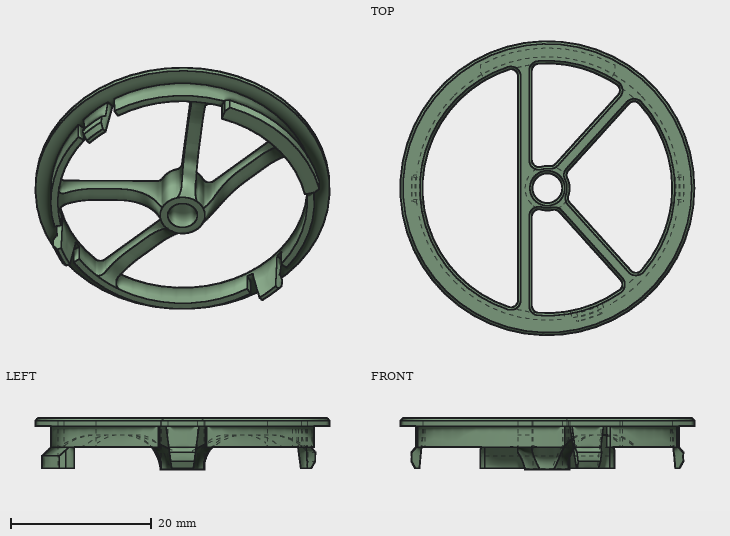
import cadquery as cq
import math

flange_bottom = -1.2
web_bottom = -2.4
skirt_bottom = -4.2
tip_bottom = -7.2
hub_bottom = -7.4

flange_radius = 21.0
skirt_outer_radius = 18.8
skirt_inner_radius = 17.8
hub_radius = 3.2
bore_radius = 2.1
hub_flare_radius = 6.0
rim_flare_radius = 8.0

top_chamfer = 0.4
window_corner_radius = 1.0
bar_width = 2.0
bar_center_x = -3.2
spoke_width = 2.0
spokes = [(47.8, 0.47), (-48.0, 0.0)]

clip_angles = [0.0, 180.0, -72.0]
gap_half_angle = 10.5
clip_root_half_width = 2.35
clip_tip_half_width = 1.55
clip_lip_radius = 19.45
clip_lip_top = -4.95
clip_lip_bottom = -6.2
clip_tip_outer_radius = 18.9
clip_tip_inner_radius = 18.3

hook_half_angle = 30.0
hook_half_width = 9.6
hook_overhang = 1.25


def revolve_about_z(profile):
    """Full turn about Z of a closed profile drawn as (radius, z)."""
    return profile.close().revolve(360, (0, 0, 0), (0, 1, 0))


def sector(center_angle, half_angle, top, bottom):
    """Wedge from the Z axis, reaching past the flange."""
    reach = 2 * flange_radius
    corners = [(0, 0)]
    for angle in (center_angle - half_angle, center_angle + half_angle):
        radians = math.radians(angle)
        corners.append((reach * math.cos(radians), reach * math.sin(radians)))
    return cq.Workplane("XY").workplane(offset=bottom).polyline(corners).close().extrude(top - bottom)


def make_body():
    """Flange, skirt, web and flared hub as one turned piece."""
    hub_flare_angle = math.acos(1 - (web_bottom - hub_bottom) / hub_flare_radius)
    hub_flare_end = hub_radius + hub_flare_radius * math.sin(hub_flare_angle)
    hub_flare_middle = (
        hub_flare_end - hub_flare_radius * math.sin(hub_flare_angle / 2),
        web_bottom - hub_flare_radius * (1 - math.cos(hub_flare_angle / 2)),
    )
    rim_flare_angle = math.acos(1 - (web_bottom - skirt_bottom) / rim_flare_radius)
    rim_flare_start = skirt_inner_radius - rim_flare_radius * math.sin(rim_flare_angle)
    rim_flare_middle = (
        rim_flare_start + rim_flare_radius * math.sin(rim_flare_angle / 2),
        web_bottom - rim_flare_radius * (1 - math.cos(rim_flare_angle / 2)),
    )
    profile = (
        cq.Workplane("XZ")
        .moveTo(bore_radius, 0)
        .lineTo(flange_radius, 0)
        .lineTo(flange_radius, flange_bottom)
        .lineTo(skirt_outer_radius, flange_bottom)
        .lineTo(skirt_outer_radius, skirt_bottom)
        .lineTo(skirt_inner_radius, skirt_bottom)
        .threePointArc(rim_flare_middle, (rim_flare_start, web_bottom))
        .lineTo(hub_flare_end, web_bottom)
        .threePointArc(hub_flare_middle, (hub_radius, hub_bottom))
        .lineTo(bore_radius, hub_bottom)
    )
    return revolve_about_z(profile)


def make_windows():
    """The four through openings, with rounded corners."""
    depth = -hub_bottom
    length = 2 * flange_radius
    windows = cq.Workplane("XY").circle(skirt_inner_radius).circle(hub_radius).extrude(-depth)
    bar = cq.Workplane("XY").center(bar_center_x, 0).rect(bar_width, length).extrude(-depth)
    windows = windows.cut(bar)
    for angle, offset in spokes:
        spoke = cq.Workplane("XY").center(length / 2, offset).rect(length, spoke_width).extrude(-depth)
        windows = windows.cut(spoke.rotate((0, 0, 0), (0, 0, 1), angle))
    return windows.edges("|Z").fillet(window_corner_radius)


def make_gap(angle):
    """Piece of the skirt removed around a clip."""
    wedge = sector(angle, gap_half_angle, flange_bottom, skirt_bottom)
    return wedge.cut(cq.Workplane("XY").circle(skirt_inner_radius).extrude(skirt_bottom))


def make_clip(angle):
    """Snap clip: a turned profile trimmed to a tapering tongue."""
    profile = (
        cq.Workplane("XZ")
        .moveTo(skirt_inner_radius, flange_bottom)
        .lineTo(skirt_outer_radius, flange_bottom)
        .lineTo(skirt_outer_radius, skirt_bottom)
        .lineTo(clip_lip_radius, clip_lip_top)
        .lineTo(clip_lip_radius, clip_lip_bottom)
        .lineTo(clip_tip_outer_radius, tip_bottom)
        .lineTo(clip_tip_inner_radius, tip_bottom)
    )
    tongue = (
        cq.Workplane("YZ")
        .moveTo(-clip_root_half_width, flange_bottom)
        .lineTo(clip_root_half_width, flange_bottom)
        .lineTo(clip_tip_half_width, tip_bottom)
        .lineTo(-clip_tip_half_width, tip_bottom)
        .close()
        .extrude(flange_radius)
    )
    return revolve_about_z(profile).intersect(tongue).rotate((0, 0, 0), (0, 0, 1), angle)


def make_hook():
    """Downward extension of the skirt with an outward lip."""
    lip_radius = skirt_outer_radius + hook_overhang
    profile = (
        cq.Workplane("XZ")
        .moveTo(skirt_inner_radius, skirt_bottom)
        .lineTo(skirt_outer_radius, skirt_bottom)
        .lineTo(lip_radius, skirt_bottom - hook_overhang)
        .lineTo(lip_radius, tip_bottom)
        .lineTo(skirt_inner_radius, tip_bottom)
    )
    width_limit = cq.Workplane("XY").rect(2 * hook_half_width, 2 * flange_radius).extrude(tip_bottom)
    hook = revolve_about_z(profile).intersect(sector(90, hook_half_angle, 0, tip_bottom))
    return hook.intersect(width_limit)


result = make_body().cut(make_windows())
result = result.faces(">Z").edges().chamfer(top_chamfer)
for clip_angle in clip_angles:
    result = result.cut(make_gap(clip_angle)).union(make_clip(clip_angle))
result = result.union(make_hook())